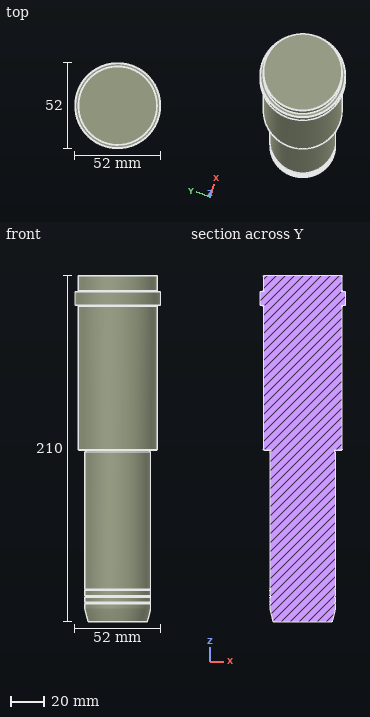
import cadquery as cq

total_length = 210.0

body_radius = 24.0
body_length = 106.0
body_top_chamfer = 0.4
body_bottom_chamfer = 0.5

collar_radius = 26.0
collar_top_depth = 9.65
collar_height = 8.7
collar_chamfer = 0.5
undercut_width = 0.6
undercut_depth = 0.3

shank_radius = 20.0
relief_depth = 0.5
relief_width = 1.0

nose_length = 8.0
nose_tip_radius = 17.9
nose_bulge = 0.15
nose_tip_chamfer = 0.4

groove_count = 3
lowest_groove_height = 11.5
groove_pitch = 4.0
groove_width = 1.0
groove_depth = 0.5

shoulder_z = total_length - body_length
collar_top_z = total_length - collar_top_depth
collar_bottom_z = collar_top_z - collar_height


def cylinder(radius, bottom_z, height):
    return cq.Workplane("XY").workplane(offset=bottom_z).circle(radius).extrude(height)


def make_shank():
    """Revolve the shank with its curved nose and its relief below the shoulder."""
    relief_radius = shank_radius - relief_depth
    nose_middle = ((nose_tip_radius + shank_radius) / 2 + nose_bulge, nose_length / 2)
    outline = (
        cq.Workplane("XZ")
        .lineTo(nose_tip_radius, 0)
        .threePointArc(nose_middle, (shank_radius, nose_length))
        .lineTo(shank_radius, shoulder_z - relief_width)
        .lineTo(relief_radius, shoulder_z - relief_width)
        .lineTo(relief_radius, shoulder_z)
        .lineTo(0, shoulder_z)
        .close()
    )
    shank = outline.revolve(360, (0, 0, 0), (0, 1, 0))
    return shank.faces("<Z").edges().chamfer(nose_tip_chamfer)


def make_body():
    body = cylinder(body_radius, shoulder_z, body_length)
    body = body.faces(">Z").edges().chamfer(body_top_chamfer)
    return body.faces("<Z").edges().chamfer(body_bottom_chamfer)


def make_collar():
    collar = cylinder(collar_radius, collar_bottom_z, collar_height)
    return collar.faces("|Z").edges().chamfer(collar_chamfer)


def make_undercut(bottom_z):
    """Ring that cuts a shallow square groove into the body."""
    outer = cylinder(body_radius, bottom_z, undercut_width)
    return outer.cut(cylinder(body_radius - undercut_depth, bottom_z, undercut_width))


def make_groove(middle_z):
    """Ring that cuts a V-shaped groove into the shank."""
    half_width = groove_width / 2
    outline = (
        cq.Workplane("XZ")
        .moveTo(shank_radius, middle_z - half_width)
        .lineTo(shank_radius - groove_depth, middle_z)
        .lineTo(shank_radius, middle_z + half_width)
        .lineTo(body_radius, middle_z + half_width)
        .lineTo(body_radius, middle_z - half_width)
        .close()
    )
    return outline.revolve(360, (0, 0, 0), (0, 1, 0))


result = make_shank().union(make_body()).union(make_collar())

for undercut_z in (collar_top_z, collar_bottom_z - undercut_width):
    result = result.cut(make_undercut(undercut_z))

for index in range(groove_count):
    result = result.cut(make_groove(lowest_groove_height + index * groove_pitch))